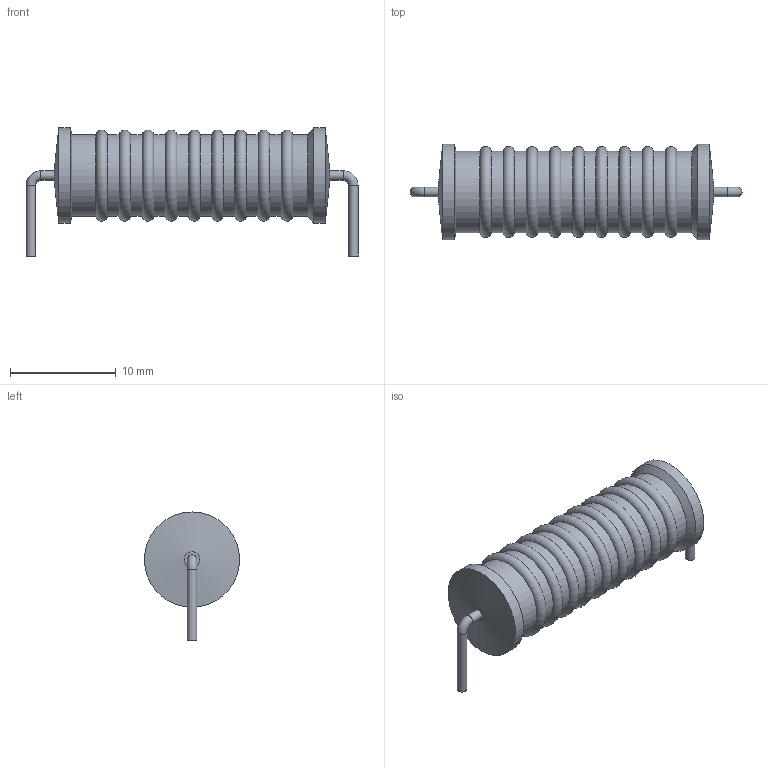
import cadquery as cq


lead_diameter = 0.9
lead_pitch = 30.48
lead_drop = 7.6
bend_radius = 0.95

core_diameter = 7.7
flange_diameter = 9.0
flange_outer_x = 12.6
flange_rim_width = 1.1
left_shoulder_length = 0.15
right_shoulder_length = 0.55

crown_height = 0.4
crown_flat_diameter = 1.5

ring_count = 9
ring_pitch = 2.19
ring_middle_x = 0.22
ring_outer_diameter = 8.6
ring_wire_diameter = 1.1


def make_body():
    """Core, flanges, tapered shoulders and end crowns, revolved about X."""
    core_radius = core_diameter / 2
    flange_radius = flange_diameter / 2
    crown_flat_radius = crown_flat_diameter / 2
    crown_tip_x = flange_outer_x + crown_height
    flange_inner_x = flange_outer_x - flange_rim_width

    profile = (
        cq.Workplane("XY")
        .moveTo(-crown_tip_x, 0)
        .lineTo(-crown_tip_x, crown_flat_radius)
        .lineTo(-flange_outer_x, flange_radius)
        .lineTo(-flange_inner_x, flange_radius)
        .lineTo(-flange_inner_x + left_shoulder_length, core_radius)
        .lineTo(flange_inner_x - right_shoulder_length, core_radius)
        .lineTo(flange_inner_x, flange_radius)
        .lineTo(flange_outer_x, flange_radius)
        .lineTo(crown_tip_x, crown_flat_radius)
        .lineTo(crown_tip_x, 0)
        .close()
    )
    return profile.revolve(360, (0, 0, 0), (1, 0, 0))


def make_ring(x):
    """One round winding turn, partly sunk into the core, centred at x."""
    wire_radius = ring_wire_diameter / 2
    turn_radius = ring_outer_diameter / 2 - wire_radius
    section_plane = cq.Plane(origin=(x, turn_radius, 0), xDir=(0, -1, 0), normal=(0, 0, 1))
    section = cq.Workplane(section_plane).circle(wire_radius)
    return section.revolve(360, (turn_radius, 0, 0), (turn_radius, 1, 0))


def make_lead(side):
    """Round lead leaving the end face and bending down; side is -1 (left) or +1 (right)."""
    root_x = side * flange_outer_x
    bend_start_x = side * (lead_pitch / 2 - bend_radius)
    drop_x = side * lead_pitch / 2

    path = (
        cq.Workplane("XZ")
        .moveTo(root_x, 0)
        .lineTo(bend_start_x, 0)
        .tangentArcPoint((drop_x, -bend_radius), relative=False)
        .lineTo(drop_x, -lead_drop)
    )
    section = cq.Workplane("YZ", origin=(root_x, 0, 0)).circle(lead_diameter / 2)
    return section.sweep(path)


def make_part():
    part = make_body()
    for index in range(ring_count):
        offset = index - (ring_count - 1) / 2
        part = part.union(make_ring(ring_middle_x + offset * ring_pitch))
    for side in (-1, 1):
        part = part.union(make_lead(side))
    return part


result = make_part()